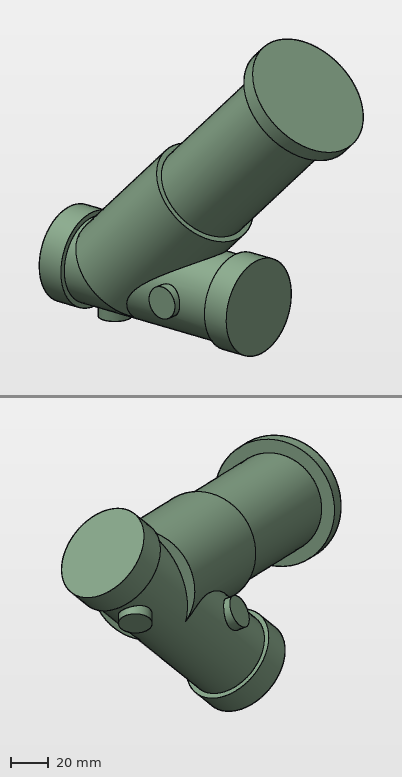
import cadquery as cq
import math

run_length = 130.0
run_diameter = 48.0
collar_diameter = 53.7
collar_width = 15.1

branch_angle = 45.0
branch_start_x = 36.5
body_diameter = 61.0
body_length = 79.4
tube_diameter = 55.0
flange_diameter = 70.0
flange_thickness = 8.7
branch_length = 180.7

boss_diameter = 18.0
bottom_boss_reach = 28.5
side_boss_reach = 28.0
bottom_boss_x = 30.0
side_boss_x = 86.4


def cylinder_between(start, direction, diameter, length):
    return cq.Workplane(
        cq.Solid.makeCylinder(diameter / 2, length, cq.Vector(*start), cq.Vector(*direction))
    )


def make_run():
    along_x = (1, 0, 0)
    run = cylinder_between((0, 0, 0), along_x, run_diameter, run_length)
    for collar_x in (0, run_length - collar_width):
        run = run.union(cylinder_between((collar_x, 0, 0), along_x, collar_diameter, collar_width))
    return run


def make_branch():
    slope = math.radians(branch_angle)
    direction = (math.cos(slope), 0, math.sin(slope))
    start = (branch_start_x, 0, 0)
    flange_offset = branch_length - flange_thickness
    flange_start = (
        branch_start_x + flange_offset * direction[0],
        0,
        flange_offset * direction[2],
    )
    body = cylinder_between(start, direction, body_diameter, body_length)
    tube = cylinder_between(start, direction, tube_diameter, branch_length)
    flange = cylinder_between(flange_start, direction, flange_diameter, flange_thickness)
    return body.union(tube).union(flange)


def make_boss(x, direction, reach):
    return cylinder_between((x, 0, 0), direction, boss_diameter, reach)


bottom_boss = make_boss(bottom_boss_x, (0, 0, -1), bottom_boss_reach)
side_boss = make_boss(side_boss_x, (0, -1, 0), side_boss_reach)

result = make_run().union(make_branch()).union(bottom_boss).union(side_boss)